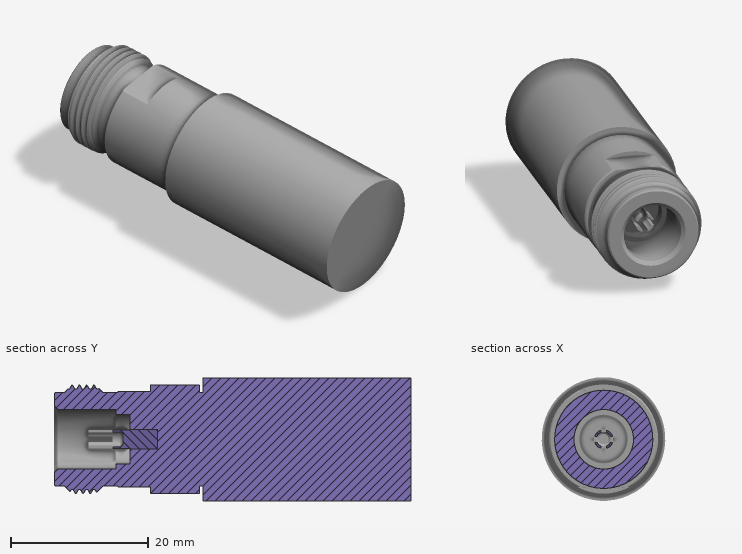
import cadquery as cq
import math

overall_length = 52.0
thread_start = 1.5
thread_end = 7.1
collar_start = 9.25
flat_end = 13.98
collar_end = 21.2
barrel_start = 21.65
bore_floor = 9.0
inner_bore_floor = 11.0

neck_radius = 6.85
thread_core_radius = 7.35
thread_radius = 15.875 / 2
collar_radius = 15.9 / 2
barrel_radius = 9.0
bore_radius = 4.3
bore_mouth_radius = 4.85
inner_bore_radius = 3.55
flat_distance = 7.0
edge_chamfer = 0.2

thread_pitch = 25.4 / 24
thread_crest_width = 0.12
thread_flank_angle = 30.0
thread_root_overlap = 0.1
ridge_start = 1.03
ridge_turns = 7
trim_clearance = 0.2

contact_tip = 5.0
contact_end = 15.0
contact_radius = 1.4
socket_radius = 1.05
socket_bottom_radius = 0.75
socket_end = 10.0
slot_width = 0.8
slot_end = 8.5


def revolve_about_x(points):
    """Turn a closed (x, radius) outline once round the X axis."""
    return cq.Workplane("XZ").polyline(points).close().revolve(360, (0, 0, 0), (1, 0, 0))


def make_cylinder(radius, start, end):
    """Plain cylinder on the X axis."""
    return cq.Workplane("YZ", origin=(start, 0, 0)).circle(radius).extrude(end - start)


def make_thread_ridge():
    """Right-handed helical ridge, longer than the threaded length at both ends."""
    root_radius = thread_core_radius - thread_root_overlap
    flank_slope = math.tan(math.radians(thread_flank_angle))
    half_crest = thread_crest_width / 2
    half_root = half_crest + (thread_radius - root_radius) * flank_slope
    helix = cq.Wire.makeHelix(thread_pitch, ridge_turns * thread_pitch, root_radius)
    return (
        cq.Workplane("XZ")
        .polyline(
            [
                (root_radius, -half_root),
                (thread_radius, -half_crest),
                (thread_radius, half_crest),
                (root_radius, half_root),
            ]
        )
        .close()
        .sweep(cq.Workplane(obj=helix), isFrenet=True)
        .rotate((0, 0, 0), (0, 1, 0), 90)
        .translate((ridge_start, 0, 0))
    )


def make_thread_envelope():
    """Threaded length with ends that rise at 45 degrees from the neck and pass clear of the crests."""
    outer_radius = thread_radius + trim_clearance
    rise = outer_radius - neck_radius
    return revolve_about_x(
        [
            (thread_start, 0),
            (thread_start, neck_radius),
            (thread_start + rise, outer_radius),
            (thread_end - rise, outer_radius),
            (thread_end, neck_radius),
            (thread_end, 0),
        ]
    )


def make_threaded_band():
    """Core cylinder and ridge, trimmed together to the cone-ended threaded length."""
    core = make_cylinder(thread_core_radius, 0, collar_start)
    return core.union(make_thread_ridge()).intersect(make_thread_envelope())


def make_shell():
    """Turned outside of the housing: nose, neck, collar, relief groove and barrel."""
    return revolve_about_x(
        [
            (0, 0),
            (0, neck_radius - edge_chamfer),
            (edge_chamfer, neck_radius),
            (collar_start, neck_radius),
            (collar_start, collar_radius - edge_chamfer),
            (collar_start + edge_chamfer, collar_radius),
            (collar_end, collar_radius),
            (collar_end, neck_radius),
            (barrel_start, neck_radius),
            (barrel_start, barrel_radius),
            (overall_length, barrel_radius),
            (overall_length, 0),
        ]
    )


def make_bore():
    """Stepped socket bore with a coned mouth."""
    mouth_depth = bore_mouth_radius - bore_radius
    return revolve_about_x(
        [
            (0, 0),
            (0, bore_mouth_radius),
            (mouth_depth, bore_radius),
            (bore_floor, bore_radius),
            (bore_floor, inner_bore_radius),
            (inner_bore_floor, inner_bore_radius),
            (inner_bore_floor, 0),
        ]
    )


def make_flat_cutter(side):
    """Block that cuts one wrench flat; side is +1 for the top and -1 for the bottom."""
    length = flat_end - collar_start
    height = collar_radius - flat_distance
    center = (collar_start + length / 2, 0, side * (flat_distance + height / 2))
    return cq.Workplane("XY").box(length, 2 * collar_radius, height).translate(center)


def make_contact_blank():
    """Plain cylinder filled by the centre contact."""
    return make_cylinder(contact_radius, contact_tip, contact_end)


def make_housing():
    housing = make_shell().union(make_threaded_band())
    for side in (1, -1):
        housing = housing.cut(make_flat_cutter(side))
    return housing.cut(make_bore()).cut(make_contact_blank())


def make_socket():
    """Blind socket whose bottom corner is coned at 45 degrees."""
    cone_depth = socket_radius - socket_bottom_radius
    return revolve_about_x(
        [
            (contact_tip, 0),
            (contact_tip, socket_radius),
            (socket_end - cone_depth, socket_radius),
            (socket_end, socket_bottom_radius),
            (socket_end, 0),
        ]
    )


def make_contact_slot(angle):
    """Slot right across the contact tip, turned about the X axis."""
    length = slot_end - contact_tip
    slot = cq.Workplane("XY").box(length, slot_width, 2 * contact_radius)
    return slot.translate((contact_tip + length / 2, 0, 0)).rotate((0, 0, 0), (1, 0, 0), angle)


def make_contact():
    """Centre contact with a socket split into four fingers by two crossed slots."""
    contact = make_contact_blank().cut(make_socket())
    for angle in (0, 90):
        contact = contact.cut(make_contact_slot(angle))
    return contact


housing = make_housing()
contact = make_contact()

result = cq.Compound.makeCompound([housing.val(), contact.val()])